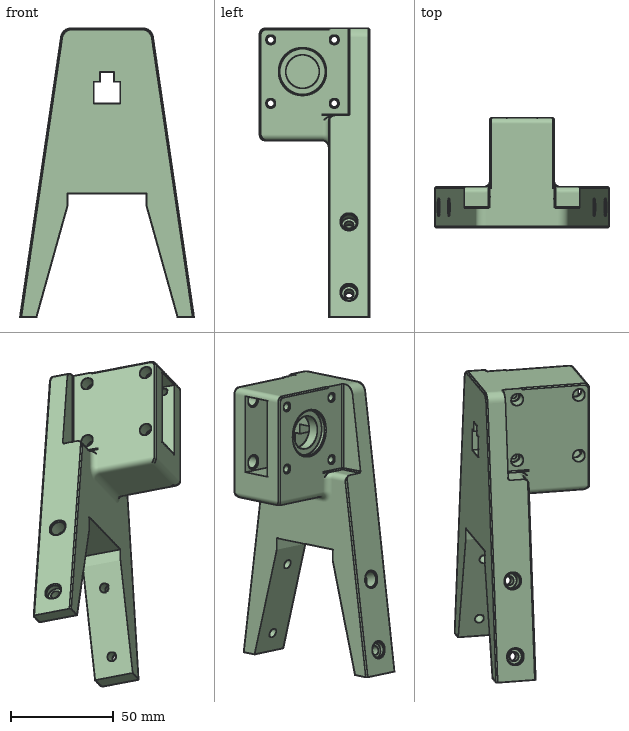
import cadquery as cq
import math

height = 140.7
foot_half_width = 42.41
top_half_width = 21.8
leg_depth = 20.0
wall_depth = 9.5
top_radius = 5.0
edge_chamfer = 0.7
round_radius = 3.0

opening_half_width = 19.1
opening_top = 60.2
opening_knee = 54.5
foot_inner_half_width = 34.3

block_half_width = 15.6
block_back = 53.6
block_bottom = 86.0
notch_floor = 98.2

axis_y = 32.6
axis_z = 119.5
boss_diameter = 22.2
boss_recess = 2.5
bore_diameter = 16.3
motor_hole_spacing = 31.0
motor_hole_diameter = 3.5
head_hole_diameter = 6.0
hole_chamfer = 0.5

cavity_half_width = 7.5
cavity_front = leg_depth
cavity_floor = 99.9
cavity_roof = 137.7

window_half_width = 6.3
window_bottom = 104.1
window_step = 114.5
window_neck_half_width = 3.4
window_top = 119.3

leg_hole_diameter = 4.5
leg_counterbore_diameter = 7.5
leg_seat_wall = 6.8
lower_hole_z = 12.1
left_upper_hole_z = 46.4
right_upper_hole_z = 49.1

margin = 7.0
side_slope = (foot_half_width - top_half_width) / height
leg_slope = (foot_inner_half_width - opening_half_width) / opening_knee


def box(x0, x1, y0, y1, z0, z1):
    size = (x1 - x0, y1 - y0, z1 - z0)
    return cq.Workplane("XY").box(*size, centered=False).translate((x0, y0, z0))


def extrude_back(points, y0, y1):
    """Extrude an XZ outline from y0 towards +Y up to y1."""
    return cq.Workplane("XZ", origin=(0, y0, 0)).polyline(points).close().extrude(y0 - y1)


def rod(start, direction, diameter, length):
    """Cylinder that runs from a start point along a direction."""
    plane = cq.Plane(origin=start, normal=direction)
    return cq.Workplane(plane).circle(diameter / 2).extrude(length)


def make_plate():
    outline = [
        (-foot_half_width, 0),
        (-top_half_width, height),
        (top_half_width, height),
        (foot_half_width, 0),
    ]
    plate = extrude_back(outline, 0, leg_depth)
    plate = plate.edges("|Y and >Z").fillet(top_radius)
    return plate.faces("|Y").edges("not(<Z)").chamfer(edge_chamfer)


def make_block():
    block = box(-block_half_width, block_half_width, wall_depth, block_back, block_bottom, height)
    block = block.faces("<Z").edges("not(<Y)").fillet(round_radius)
    block = block.edges("|X and >Z and >Y").fillet(round_radius)
    return block.edges("|Z and >Y").chamfer(edge_chamfer)


def join_block(plate):
    """Join plate and block and round the inside corner between them."""
    body = plate.union(make_block())
    reach = block_half_width + 0.1
    corner_zone = cq.selectors.BoxSelector(
        (-reach, leg_depth - 0.1, block_bottom - 0.1),
        (reach, leg_depth + 0.1, height - edge_chamfer - 0.1),
    )
    return body.edges(corner_zone).fillet(round_radius)


def cut_opening(body):
    outline = [
        (-foot_inner_half_width, 0),
        (-opening_half_width, opening_knee),
        (-opening_half_width, opening_top),
        (opening_half_width, opening_top),
        (opening_half_width, opening_knee),
        (foot_inner_half_width, 0),
    ]
    return body.cut(extrude_back(outline, 0, leg_depth))


def shoulder_section(x):
    """Section above the rounded shoulder edge, on the plane at x."""
    corner_y = leg_depth + round_radius
    low_z = notch_floor - round_radius
    return (
        cq.Workplane("YZ", origin=(x, 0, 0))
        .moveTo(leg_depth - round_radius, notch_floor)
        .radiusArc((leg_depth, low_z), round_radius)
        .lineTo(corner_y, low_z)
        .lineTo(corner_y, notch_floor)
        .close()
    )


def make_shoulder_relief():
    """Material above the +X shoulder rounding, which turns with the inside corner into the block."""
    turn_x = block_half_width + round_radius
    turn_y = leg_depth + round_radius
    straight = shoulder_section(turn_x).extrude(foot_half_width)
    turn = shoulder_section(turn_x).revolve(90, (turn_y, 1.4, 0), (turn_y, 0, 0))
    beside_block = box(block_half_width, turn_x, 0, turn_y, 0, height)
    return straight.union(turn.intersect(beside_block))


def cut_notches(body):
    """Cut the motor notches; their inner corners keep a small chamfer."""
    reach = foot_half_width + margin
    notch = box(block_half_width, reach, wall_depth, block_back + margin, notch_floor, height + margin)
    notch = notch.edges("(<X and <Y) or (<X and <Z) or (<Y and <Z)").chamfer(edge_chamfer)
    relief = make_shoulder_relief()
    for cutter in (notch, relief):
        body = body.cut(cutter).cut(cutter.mirror("YZ"))
    return body


def cut_cavity(body):
    cavity = box(-cavity_half_width, cavity_half_width, cavity_front, block_back,
                 cavity_floor, cavity_roof)
    window = [
        (-window_half_width, window_bottom),
        (-window_half_width, window_step),
        (-window_neck_half_width, window_step),
        (-window_neck_half_width, window_top),
        (window_neck_half_width, window_top),
        (window_neck_half_width, window_step),
        (window_half_width, window_step),
        (window_half_width, window_bottom),
    ]
    return body.cut(cavity).cut(extrude_back(window, 0, cavity_front))


def cone_mouth(start, direction, diameter):
    """Chamfer cutter for the mouth of a hole; it narrows along the direction."""
    rim = cq.Workplane(cq.Plane(origin=start, normal=direction)).circle(diameter / 2 + hole_chamfer)
    return rim.extrude(hole_chamfer, taper=45)


def cut_motor_mount(body):
    face_center = (-block_half_width, axis_y, axis_z)
    inward = (1, 0, 0)
    body = body.cut(rod(face_center, inward, boss_diameter, boss_recess))
    body = body.cut(cone_mouth(face_center, inward, boss_diameter))
    body = body.cut(rod(face_center, inward, bore_diameter, block_half_width))
    for dy in (-motor_hole_spacing / 2, motor_hole_spacing / 2):
        for dz in (-motor_hole_spacing / 2, motor_hole_spacing / 2):
            start = (-block_half_width, axis_y + dy, axis_z + dz)
            far_wall = (cavity_half_width, axis_y + dy, axis_z + dz)
            body = body.cut(rod(start, inward, motor_hole_diameter, 2 * block_half_width))
            body = body.cut(cone_mouth(start, inward, motor_hole_diameter))
            body = body.cut(rod(far_wall, inward, head_hole_diameter, block_half_width))
            body = body.cut(cone_mouth(far_wall, inward, head_hole_diameter))
    return body


def cut_leg_hole(body, side, entry_z):
    """Counterbored hole through one leg, square to the inner face of the leg."""
    tilt = math.atan(leg_slope)
    inward = (-side * math.cos(tilt), 0, -math.sin(tilt))
    entry_x = foot_half_width - side_slope * entry_z
    inner_x = foot_inner_half_width - leg_slope * entry_z
    depth = (entry_x - inner_x) * math.cos(tilt)
    back_off = margin / 2

    def along(distance):
        x = side * entry_x + inward[0] * distance
        return (x, leg_depth / 2, entry_z + inward[2] * distance)

    start = along(-back_off)
    body = body.cut(rod(start, inward, leg_hole_diameter, depth + 2 * back_off))
    body = body.cut(rod(start, inward, leg_counterbore_diameter, depth - leg_seat_wall + back_off))
    lip = leg_counterbore_diameter / 2 + 1.4
    mouth = cq.selectors.BoxSelector(
        (side * entry_x - 1.4, leg_depth / 2 - lip, entry_z - lip),
        (side * entry_x + 1.4, leg_depth / 2 + lip, entry_z + lip),
        boundingbox=True,
    )
    return body.edges(mouth).chamfer(hole_chamfer)


result = join_block(make_plate())
result = cut_notches(result)
result = cut_opening(result)
result = cut_cavity(result)
result = cut_motor_mount(result)
for side, upper_hole_z in ((-1, left_upper_hole_z), (1, right_upper_hole_z)):
    result = cut_leg_hole(result, side, lower_hole_z)
    result = cut_leg_hole(result, side, upper_hole_z)